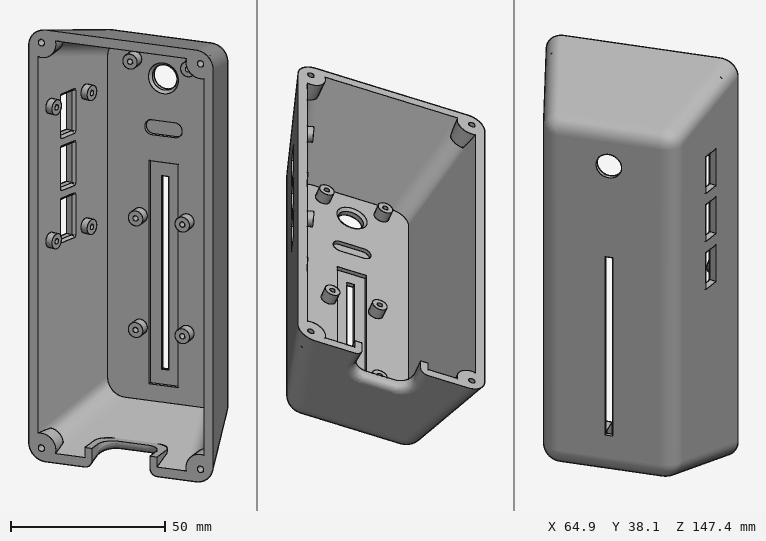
import cadquery as cq
import math

INCH = 25.4

BACK_WIDTH = 1.75 * INCH
BACK_HEIGHT = 5.0 * INCH
DEPTH = 1.5 * INCH
DRAFT = 15.0
WALL = INCH / 8
EDGE_RADIUS = INCH / 4

DRAFT_SLOPE = math.tan(math.radians(DRAFT))
RIM_WIDTH = BACK_WIDTH + 2 * DEPTH * DRAFT_SLOPE
RIM_HEIGHT = BACK_HEIGHT + 2 * DEPTH * DRAFT_SLOPE
RIM_THICKNESS = WALL / math.cos(math.radians(DRAFT))
INNER_RIM_WIDTH = RIM_WIDTH - 2 * RIM_THICKNESS
INNER_RIM_HEIGHT = RIM_HEIGHT - 2 * RIM_THICKNESS
FLOOR_THICKNESS = 0.1 * INCH
FLOOR_Y = DEPTH - FLOOR_THICKNESS

POST_INSET = 4.5
POST_RADIUS = 0.2 * INCH
POST_LENGTH = 0.25 * INCH
POST_HOLE_RADIUS = 1.1

STANDOFF_RADIUS = 0.1 * INCH
STANDOFF_HOLE_RADIUS = 0.9
STANDOFF_LENGTH = 0.15 * INCH
UPPER_STANDOFF_X = 0.4 * INCH
UPPER_STANDOFF_Z = 55.25
LOWER_STANDOFF_X = 8.2
LOWER_STANDOFF_TOP_Z = 2.0
LOWER_STANDOFF_PITCH = 1.5 * INCH
LOWER_STANDOFF_ZS = (LOWER_STANDOFF_TOP_Z, LOWER_STANDOFF_TOP_Z - LOWER_STANDOFF_PITCH)

ROUND_HOLE_Z = 49.7
ROUND_HOLE_RADIUS = 4.3
ROUND_HOLE_FLARE = 0.95
POCKET_DEPTH = FLOOR_THICKNESS / 2
OBLONG_POCKET_Z = 32.5
OBLONG_POCKET_LENGTH = 13.1
OBLONG_POCKET_HEIGHT = 5.1
LONG_SLOT_Z = -17.1
LONG_SLOT_WIDTH = 0.1 * INCH
LONG_SLOT_HEIGHT = 2.6 * INCH
LONG_POCKET_WIDTH = 0.4 * INCH
LONG_POCKET_HEIGHT = 3.0 * INCH

WINDOW_GROUP_Y = 16.25
WINDOW_GROUP_Z = 0.9 * INCH
WINDOW_PITCH = 0.7 * INCH
WINDOW_WIDTH = 0.25 * INCH
WINDOW_HEIGHT = 13.6
WINDOW_FLARE = 0.85
WALL_STANDOFF_SPACING_Z = 1.8 * INCH
WALL_STANDOFF_SPACING_Y = 18.6
WALL_STANDOFF_LENGTH = 0.1 * INCH

NOTCH_WIDTH = 0.8 * INCH
NOTCH_DEPTH = 0.4 * INCH
NOTCH_CORNER_RADIUS = 0.2 * INCH
NOTCH_EDGE_RADIUS = 0.1 * INCH
COLLAR_THICKNESS = 0.1 * INCH
COLLAR_DEPTH = NOTCH_DEPTH + COLLAR_THICKNESS
COLLAR_TOP_Z = -INNER_RIM_HEIGHT / 2 + COLLAR_DEPTH * DRAFT_SLOPE


def facing_back(y):
    """Workplane at the given Y with local x = X and local y = Z; extrude(-d) goes towards +Y."""
    return cq.Workplane("XZ", origin=(0, y, 0))


def frustum(width, height, depth):
    """Box starting at the rim plane and narrowing by the draft angle towards +Y."""
    plane = cq.Plane(origin=(0, 0, 0), xDir=(1, 0, 0), normal=(0, 1, 0))
    return cq.Workplane(plane).rect(width, height).extrude(depth, taper=DRAFT)


def outer_body():
    """Solid flared box, rounded everywhere except around the rim."""
    body = frustum(RIM_WIDTH, RIM_HEIGHT, DEPTH)
    return body.edges("not(<Y)").fillet(EDGE_RADIUS)


def cavity():
    """Hollow of the shell: rounded sloping corners and a sharp edge around the floor."""
    body = frustum(INNER_RIM_WIDTH, INNER_RIM_HEIGHT, FLOOR_Y)
    return body.edges("not(<Y or >Y)").fillet(EDGE_RADIUS)


def notch_prism(width, depth, top_z):
    """Upright prism, open at the rim, with its two deep corners rounded."""
    bottom_z = -RIM_HEIGHT
    block = cq.Workplane("XY", origin=(0, depth / 2, bottom_z)).rect(width, depth)
    return block.extrude(top_z - bottom_z).edges("|Z and >Y").fillet(NOTCH_CORNER_RADIUS)


def notched_shell(outer):
    """Hollow shell whose -Z wall has a rounded cable notch with a raised collar around it."""
    notched = outer.cut(notch_prism(NOTCH_WIDTH, NOTCH_DEPTH, 0))
    outer_notch_edges = cq.selectors.BoxSelector(
        (-NOTCH_WIDTH, 0, -RIM_HEIGHT), (NOTCH_WIDTH, COLLAR_DEPTH, -BACK_HEIGHT / 2)
    )
    notched = notched.edges("not(<Y)").edges(outer_notch_edges).fillet(NOTCH_EDGE_RADIUS)
    collar = notch_prism(NOTCH_WIDTH + 2 * COLLAR_THICKNESS, COLLAR_DEPTH, COLLAR_TOP_Z)
    return notched.cut(cavity().cut(collar))


def corner_posts(outer):
    """Screw posts trimmed to the outside of the shell, and their holes."""
    x = RIM_WIDTH / 2 - POST_INSET
    z = RIM_HEIGHT / 2 - POST_INSET
    corners = [(sx * x, sz * z) for sx in (-1, 1) for sz in (-1, 1)]
    posts = facing_back(0).pushPoints(corners).circle(POST_RADIUS).extrude(-POST_LENGTH)
    holes = facing_back(0).pushPoints(corners).circle(POST_HOLE_RADIUS).extrude(-POST_LENGTH)
    return posts.intersect(outer), holes


def floor_standoffs():
    points = [(side * UPPER_STANDOFF_X, UPPER_STANDOFF_Z) for side in (-1, 1)]
    points += [(side * LOWER_STANDOFF_X, z) for side in (-1, 1) for z in LOWER_STANDOFF_ZS]
    ring = facing_back(FLOOR_Y - STANDOFF_LENGTH).pushPoints(points)
    posts = ring.circle(STANDOFF_RADIUS).extrude(-STANDOFF_LENGTH)
    holes = ring.circle(STANDOFF_HOLE_RADIUS).extrude(-STANDOFF_LENGTH)
    return posts.cut(holes)


def back_openings():
    """Flared round hole, blind oblong pocket and long slot inside a shallow pocket."""
    floor = facing_back(FLOOR_Y)
    hole = floor.center(0, ROUND_HOLE_Z).circle(ROUND_HOLE_RADIUS).extrude(-FLOOR_THICKNESS)
    flare = cq.Workplane(cq.Solid.makeCone(
        ROUND_HOLE_RADIUS + ROUND_HOLE_FLARE,
        ROUND_HOLE_RADIUS,
        ROUND_HOLE_FLARE,
        pnt=cq.Vector(0, FLOOR_Y, ROUND_HOLE_Z),
        dir=cq.Vector(0, 1, 0),
    ))
    oblong = floor.center(0, OBLONG_POCKET_Z)
    oblong = oblong.slot2D(OBLONG_POCKET_LENGTH, OBLONG_POCKET_HEIGHT).extrude(-POCKET_DEPTH)
    slot_centre = floor.center(0, LONG_SLOT_Z)
    slot = slot_centre.rect(LONG_SLOT_WIDTH, LONG_SLOT_HEIGHT).extrude(-FLOOR_THICKNESS)
    pocket = slot_centre.rect(LONG_POCKET_WIDTH, LONG_POCKET_HEIGHT).extrude(-POCKET_DEPTH)
    return hole.union(flare).union(oblong).union(slot).union(pocket)


def side_wall_plane():
    """Plane on the outside of the -X wall: local x down the slope to the rim, local y = Z, normal inwards."""
    x = -RIM_WIDTH / 2 + WINDOW_GROUP_Y * DRAFT_SLOPE
    tilt = math.radians(DRAFT)
    return cq.Plane(
        origin=(x, WINDOW_GROUP_Y, WINDOW_GROUP_Z),
        xDir=(-math.sin(tilt), -math.cos(tilt), 0),
        normal=(math.cos(tilt), -math.sin(tilt), 0),
    )


def side_windows():
    """Three windows through the -X wall, each flaring at 45 degrees where it meets the inner face."""
    outer_plane = cq.Workplane(side_wall_plane())
    windows = outer_plane.rarray(1, WINDOW_PITCH, 1, 3)
    windows = windows.rect(WINDOW_WIDTH, WINDOW_HEIGHT).extrude(WALL, both=True)
    flares = outer_plane.workplane(offset=WALL - WINDOW_FLARE).rarray(1, WINDOW_PITCH, 1, 3)
    flares = flares.rect(WINDOW_WIDTH, WINDOW_HEIGHT).extrude(WINDOW_FLARE, taper=-45)
    return windows.union(flares)


def side_standoffs():
    inner = cq.Workplane(side_wall_plane()).workplane(offset=WALL)
    places = inner.rarray(WALL_STANDOFF_SPACING_Y, WALL_STANDOFF_SPACING_Z, 2, 2)
    return places.circle(STANDOFF_RADIUS).circle(STANDOFF_HOLE_RADIUS).extrude(WALL_STANDOFF_LENGTH)


outer = outer_body()
posts, post_holes = corner_posts(outer)
result = notched_shell(outer)
result = result.union(posts).cut(post_holes)
result = result.cut(back_openings()).cut(side_windows())
result = result.union(floor_standoffs()).union(side_standoffs())